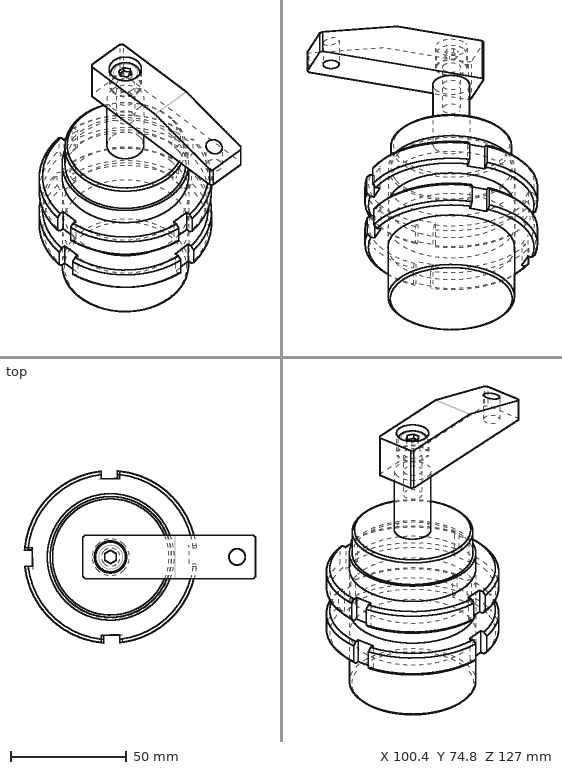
import cadquery as cq
import math

barrel_diameter = 55.0
barrel_height = 66.0
cap_diameter = 52.5
housing_height = 78.0
housing_chamfer = 1.0

nut_diameter = 75.0
nut_height = 11.0
nut_chamfer = 1.5
nut_slot_count = 4
nut_slot_width = 8.0
nut_slot_depth = 3.5
nut_placements = [(26.0, 1.75), (47.2, 0.0)]

rod_diameter = 16.0
rod_length = 30.0

arm_length = 75.0
arm_width = 19.0
arm_height = 19.0
arm_back_overhang = 12.0
arm_level_reach = 28.0
arm_slope_angle = 15.0
arm_corner_chamfer = 1.0
tip_hole_diameter = 7.0
tip_hole_reach = 55.0

screw_head_diameter = 13.0
screw_head_height = 8.0
screw_head_fillet = 1.3
screw_head_recess = 2.2
screw_shank_diameter = 8.0
screw_engagement = 12.0
counterbore_diameter = 14.0
socket_across_flats = 5.0
socket_depth = 2.0
socket_point_angle = 120.0

arm_bottom = housing_height + rod_length
arm_top = arm_bottom + arm_height
screw_head_top = arm_top - screw_head_recess
screw_seat = screw_head_top - screw_head_height
screw_bottom = arm_bottom - screw_engagement


def cylinder(diameter, bottom, top):
    """Cylinder on the Z axis between two heights."""
    return cq.Workplane("XY").workplane(offset=bottom).circle(diameter / 2).extrude(top - bottom)


def make_housing():
    barrel = cylinder(barrel_diameter, 0, barrel_height).faces("<Z").chamfer(housing_chamfer)
    cap = cylinder(cap_diameter, barrel_height, housing_height).faces(">Z").chamfer(housing_chamfer)
    return barrel.union(cap)


def make_lock_nut(bottom, rotation):
    """Chamfered ring with wrench slots around its rim."""
    nut = cylinder(nut_diameter, 0, nut_height).faces("<Z or >Z").chamfer(nut_chamfer)
    slot_floor_radius = nut_diameter / 2 - nut_slot_depth
    slots = (
        cq.Workplane("XY")
        .polarArray(slot_floor_radius + nut_slot_depth, 0, 360, nut_slot_count)
        .rect(2 * nut_slot_depth, nut_slot_width)
        .extrude(nut_height)
    )
    bore = cylinder(barrel_diameter, 0, nut_height)
    nut = nut.cut(slots).cut(bore)
    return nut.rotate((0, 0, 0), (0, 0, 1), rotation).translate((0, 0, bottom))


def make_rod():
    rod = cylinder(rod_diameter, housing_height, arm_bottom)
    return rod.cut(cylinder(screw_shank_diameter, screw_bottom, arm_bottom))


def make_arm():
    arm_back = -arm_back_overhang
    arm_tip = arm_length - arm_back_overhang
    slope_drop = (arm_tip - arm_level_reach) * math.tan(math.radians(arm_slope_angle))
    arm = (
        cq.Workplane("XZ")
        .moveTo(arm_back, arm_bottom)
        .lineTo(arm_tip, arm_bottom)
        .lineTo(arm_tip, arm_top - slope_drop)
        .lineTo(arm_level_reach, arm_top)
        .lineTo(arm_back, arm_top)
        .close()
        .extrude(arm_width / 2, both=True)
        .edges("|Z")
        .chamfer(arm_corner_chamfer)
    )
    tip_hole = cylinder(tip_hole_diameter, arm_bottom, arm_top).translate((tip_hole_reach, 0, 0))
    shank_hole = cylinder(screw_shank_diameter, arm_bottom, arm_top)
    counterbore = cylinder(counterbore_diameter, screw_seat, arm_top)
    return arm.cut(tip_hole).cut(shank_hole).cut(counterbore)


def make_screw():
    head = cylinder(screw_head_diameter, screw_seat, screw_head_top)
    head = head.faces(">Z").fillet(screw_head_fillet)
    shank = cylinder(screw_shank_diameter, screw_bottom, screw_seat)
    corner_radius = socket_across_flats / 2 / math.cos(math.radians(30))
    point_depth = corner_radius / math.tan(math.radians(socket_point_angle / 2))
    socket_floor = screw_head_top - socket_depth
    hexagon = (
        cq.Workplane("XY")
        .workplane(offset=socket_floor - point_depth)
        .polygon(6, 2 * corner_radius)
        .extrude(socket_depth + point_depth)
        .rotate((0, 0, 0), (0, 0, 1), 90)
    )
    drill = (
        cq.Workplane("XZ")
        .moveTo(0, socket_floor - point_depth)
        .lineTo(corner_radius, socket_floor)
        .lineTo(corner_radius, screw_head_top)
        .lineTo(0, screw_head_top)
        .close()
        .revolve(360, (0, 0), (0, 1))
    )
    socket = hexagon.intersect(drill)
    return head.union(shank).cut(socket)


housing = make_housing()
lock_nuts = [make_lock_nut(bottom, rotation) for bottom, rotation in nut_placements]
rod = make_rod()
arm = make_arm()
screw = make_screw()

result = cq.Compound.makeCompound(
    [housing.val(), *[nut.val() for nut in lock_nuts], rod.val(), arm.val(), screw.val()]
)